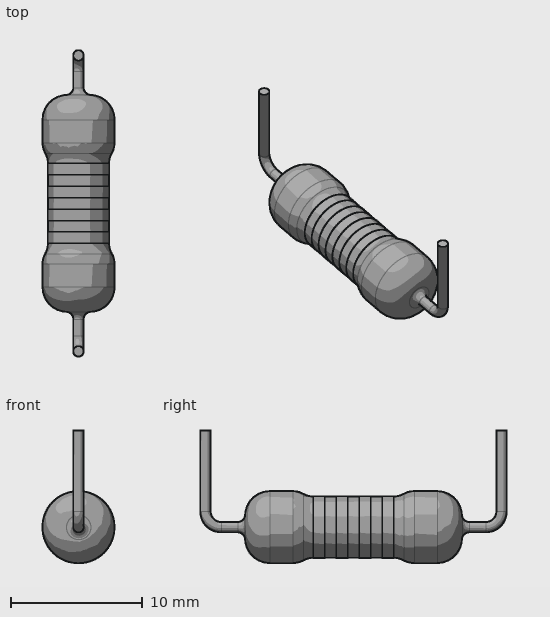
import cadquery as cq
import math


lead_pitch = 22.5
lead_diameter = 0.8
lead_bend_radius = 1.2
lead_top_z = 7.35

body_length = 16.5
cap_diameter = 5.5
cap_straight_length = 1.75
end_round_radius = 1.9
meniscus_radius = 0.55
waist_diameter = 4.67

band_count = 4
band_diameter = 4.7
band_width = 0.87

half_pitch = lead_pitch / 2
lead_radius = lead_diameter / 2
half_length = body_length / 2
cap_radius = cap_diameter / 2
waist_radius = waist_diameter / 2
waist_length = (2 * band_count - 1) * band_width
waist_end_y = waist_length / 2
cap_outer_y = half_length - end_round_radius
cap_inner_y = cap_outer_y - cap_straight_length


def make_cylinder(diameter, length, center_y):
    """Cylinder on the body axis, centred on the given Y."""
    base = cq.Workplane("XZ", origin=(0, center_y + length / 2, 0))
    return base.circle(diameter / 2).extrude(length)


def make_body():
    """Dumbbell body with a meniscus onto each lead, from a turned (radius, y) profile."""
    shoulder_radius = (cap_radius + waist_radius) / 2
    shoulder_y = (cap_inner_y + waist_end_y) / 2

    round_center_radius = cap_radius - end_round_radius
    center_distance = end_round_radius + meniscus_radius
    center_offset = lead_radius + meniscus_radius - round_center_radius
    center_rise = math.sqrt(center_distance**2 - center_offset**2)
    meniscus_tip_y = cap_outer_y + center_rise
    contact_fraction = end_round_radius / center_distance
    contact_radius = round_center_radius + center_offset * contact_fraction
    contact_y = cap_outer_y + center_rise * contact_fraction

    joint_y = waist_end_y - band_width / 2

    profile = (
        cq.Workplane("XY")
        .moveTo(0, joint_y)
        .lineTo(waist_radius, joint_y)
        .lineTo(waist_radius, waist_end_y)
        .tangentArcPoint((shoulder_radius, shoulder_y), relative=False)
        .tangentArcPoint((cap_radius, cap_inner_y), relative=False)
        .lineTo(cap_radius, cap_outer_y)
        .tangentArcPoint((contact_radius, contact_y), relative=False)
        .tangentArcPoint((lead_radius, meniscus_tip_y), relative=False)
        .lineTo(0, meniscus_tip_y)
        .close()
    )
    body_end = profile.revolve(360, (0, 0, 0), (0, 1, 0))
    waist = make_cylinder(waist_diameter, 2 * joint_y, 0)
    return waist.union(body_end).union(body_end.mirror("XZ"))


def make_lead():
    """Wire at the +Y end: out of the body along Y, then bent upwards."""
    path = (
        cq.Workplane("YZ")
        .moveTo(half_length, 0)
        .lineTo(half_pitch - lead_bend_radius, 0)
        .tangentArcPoint((half_pitch, lead_bend_radius), relative=False)
        .lineTo(half_pitch, lead_top_z)
    )
    section = cq.Workplane("XZ", origin=(0, half_length, 0)).circle(lead_radius)
    return section.sweep(path)


lead = make_lead()
result = make_body().union(lead).union(lead.mirror("XZ"))

for band_index in range(band_count):
    band_y = 2 * band_width * (band_index - (band_count - 1) / 2)
    band = make_cylinder(band_diameter, band_width, band_y)
    result = result.union(band)